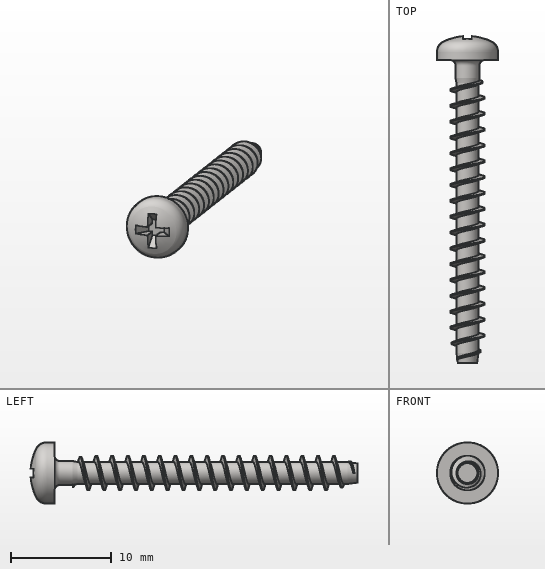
import cadquery as cq
import math


total_length = 32.43
head_height = 2.4
head_radius = 3.05
crown_radius = 5.2
corner_radius = 1.17

neck_radius = 1.2
neck_length = 1.78
neck_fillet = 0.52
core_radius = 1.1
neck_taper_length = 0.5
tip_radius = 0.97
tip_taper_length = 0.97

wing_width = 0.85
wing_reach = 1.95
wing_floor_reach = 0.8
recess_depth = 1.62
recess_overcut = 0.32

thread_radius = 1.72
thread_root_radius = 0.88
lead_in_radius = 1.05
lead_out_radius = 1.17
crest_width = 0.1
root_width = 0.52
full_turns = 15.75
full_length = 24.75
taper_turns = 1.25
full_thread_top = -2.95

tip_y = head_height - total_length
pitch = full_length / full_turns


def make_head_and_core():
    """Revolve the head, neck, core and tip about the Y axis."""
    recess_corner_radius = wing_width / math.sqrt(2)
    crown_center_y = head_height - math.sqrt(crown_radius**2 - recess_corner_radius**2)
    corner_center_x = head_radius - corner_radius
    center_gap = crown_radius - corner_radius
    blend_angle = math.asin(corner_center_x / center_gap)
    corner_center_y = crown_center_y + center_gap * math.cos(blend_angle)

    def crown_point(angle):
        return (crown_radius * math.sin(angle), crown_center_y + crown_radius * math.cos(angle))

    corner_mid_angle = (blend_angle + math.pi / 2) / 2
    corner_mid = (
        corner_center_x + corner_radius * math.sin(corner_mid_angle),
        corner_center_y + corner_radius * math.cos(corner_mid_angle),
    )
    fillet_offset = neck_fillet * (1 - math.sqrt(0.5))
    return (
        cq.Workplane("XY")
        .moveTo(*crown_point(0))
        .threePointArc(crown_point(blend_angle / 2), crown_point(blend_angle))
        .threePointArc(corner_mid, (head_radius, corner_center_y))
        .lineTo(head_radius, 0)
        .lineTo(neck_radius + neck_fillet, 0)
        .threePointArc((neck_radius + fillet_offset, -fillet_offset), (neck_radius, -neck_fillet))
        .lineTo(neck_radius, -neck_length)
        .lineTo(core_radius, -neck_length - neck_taper_length)
        .lineTo(core_radius, tip_y + tip_taper_length)
        .lineTo(tip_radius, tip_y)
        .lineTo(0, tip_y)
        .close()
        .revolve(360, (0, 0), (0, 1))
    )


def make_cross_recess():
    """Two crossed wings whose ends slope inward toward a flat floor."""
    floor_y = head_height - recess_depth
    open_y = head_height + recess_overcut
    wing = (
        cq.Workplane("XY")
        .polyline([
            (-wing_reach, head_height),
            (-wing_reach, open_y),
            (wing_reach, open_y),
            (wing_reach, head_height),
            (wing_floor_reach, floor_y),
            (-wing_floor_reach, floor_y),
        ])
        .close()
        .extrude(wing_width / 2, both=True)
    )
    return wing.union(wing.rotate((0, 0, 0), (0, 1, 0), 90))


def make_helix(start_radius, end_radius, turns, offset):
    """Right-hand helix about Z, cylindrical or conical, starting on +X at height offset."""
    height = turns * pitch
    center = cq.Vector(0, 0, offset)
    if start_radius == end_radius:
        return cq.Wire.makeHelix(pitch, height, start_radius, center)
    cone_angle = math.atan2(end_radius - start_radius, height)
    slant = 1 / math.cos(cone_angle)
    return cq.Wire.makeHelix(
        pitch * slant, height * slant, start_radius, center, angle=math.degrees(cone_angle)
    )


def make_ridge(start_crest_radius, end_crest_radius, turns):
    """Solid helical ridge about Z, bounded by two root helices and two crest helices."""
    root_half = root_width / 2
    crest_half = crest_width / 2
    corners = [
        make_helix(thread_root_radius, thread_root_radius, turns, -root_half),
        make_helix(start_crest_radius, end_crest_radius, turns, -crest_half),
        make_helix(start_crest_radius, end_crest_radius, turns, crest_half),
        make_helix(thread_root_radius, thread_root_radius, turns, root_half),
    ]
    faces = [
        cq.Face.makeRuledSurface(corner, corners[(index + 1) % len(corners)])
        for index, corner in enumerate(corners)
    ]
    for at_end in (False, True):
        points = [corner.endPoint() if at_end else corner.startPoint() for corner in corners]
        faces.append(cq.Face.makeFromWires(cq.Wire.makePolygon(points, close=True)))
    shell = cq.Shell.makeShell([face for item in faces for face in item.Faces()])
    return cq.Workplane(cq.Solid.makeSolid(shell))


def place_ridge(ridge, start_y, start_turn):
    """Turn a ridge from the Z axis onto the Y axis; start_turn is measured from +X toward -Z."""
    return (
        ridge.rotate((0, 0, 0), (0, 0, 1), 360 * start_turn)
        .rotate((0, 0, 0), (1, 0, 0), -90)
        .translate((0, start_y, 0))
    )


def make_thread():
    """Return the three ridge sections, from the tip toward the head."""
    sections = [
        (lead_in_radius, thread_radius, taper_turns),
        (thread_radius, thread_radius, full_turns),
        (thread_radius, lead_out_radius, taper_turns),
    ]
    start_turn = 0.5 - full_turns - taper_turns
    start_y = full_thread_top - full_length - taper_turns * pitch
    ridges = []
    for start_crest, end_crest, turns in sections:
        ridges.append(place_ridge(make_ridge(start_crest, end_crest, turns), start_y, start_turn))
        start_turn += turns
        start_y += turns * pitch

    neck_sleeve = cq.Workplane("XZ").circle(thread_radius).extrude(neck_length)
    ridges[-1] = ridges[-1].cut(neck_sleeve)
    return ridges


screw = make_head_and_core().cut(make_cross_recess())
for section in make_thread():
    screw = screw.union(section)
result = cq.Workplane(screw.solids().val())